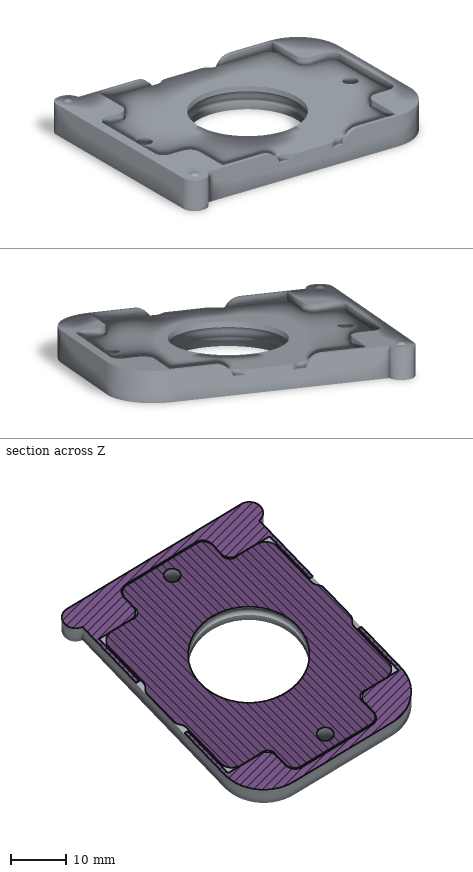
import cadquery as cq
import math


length = 56.45
housing_width = 40.3
height = 6.1
front_y = -28.35
back_y = front_y + length
back_corner_radius = 9.0

strip_width = 44.6
strip_depth = 5.1
strip_end_radius = 2.5
strip_y = front_y + strip_depth / 2

dome_x = strip_width / 2 - strip_end_radius
dome_radius = 0.9
dome_height = 0.35
dome_sphere_radius = (dome_radius**2 + dome_height**2) / (2 * dome_height)

plate_count = 2
plate_thickness = 0.525
recess_floor = 3.55

body_length = 38.5
arm_width = 19.85
recess_body_width = 38.7
recess_length = 52.55
recess_arm_corner = 2.0
recess_inner_corner = 2.25

side_gap = 0.2
end_gap = 0.15
plate_body_width = recess_body_width - 2 * side_gap
plate_length = recess_length - 2 * end_gap
plate_arm_corner = 2.0
plate_body_corner = 2.5
plate_inner_corner = 1.6

tab_root_half = 6.45
tab_tip_half = 3.95

notch_floor_half = 7.1
notch_round_radius = 3.35

opening_diameter = 21.9
counterbore_diameter = 24.4
counterbore_floor = 1.45
small_hole_diameter = 3.0
small_hole_y = 22.85


def cross(body_width, cross_length, arm_corner, inner_corner, depth, body_corner=0):
    """Body with an arm at each end, filleted where they meet; body corners may stay sharp."""
    body = cq.Workplane("XY").rect(body_width, body_length).extrude(depth)
    if body_corner:
        body = body.edges("|Z").fillet(body_corner)
    arms = cq.Workplane("XY").rect(arm_width, cross_length).extrude(depth)
    arms = arms.edges("|Z").fillet(arm_corner)
    shape = body.union(arms)
    for x in (-arm_width / 2, arm_width / 2):
        for y in (-body_length / 2, body_length / 2):
            inner_edge = cq.selectors.NearestToPointSelector((x, y, depth / 2))
            shape = shape.edges("|Z").edges(inner_edge).fillet(inner_corner)
    return shape


def through_holes(depth):
    """Cutter for the central opening and the two small holes."""
    opening = cq.Workplane("XY").circle(opening_diameter / 2).extrude(depth)
    small_holes = (
        cq.Workplane("XY")
        .pushPoints([(0, small_hole_y), (0, -small_hole_y)])
        .circle(small_hole_diameter / 2)
        .extrude(depth)
    )
    return opening.union(small_holes)


def side_notch():
    """Cutter across both side walls, with rounded lips at the top of the walls."""
    drop = height - recess_floor
    lip_run = math.sqrt(notch_round_radius**2 - (notch_round_radius - drop) ** 2)
    lip_half = notch_floor_half + lip_run
    mid_angle = math.acos(1 - drop / notch_round_radius) / 2
    mid_y = lip_half - notch_round_radius * math.sin(mid_angle)
    mid_z = height - notch_round_radius * (1 - math.cos(mid_angle))
    return (
        cq.Workplane("YZ")
        .moveTo(-notch_floor_half, recess_floor)
        .lineTo(notch_floor_half, recess_floor)
        .threePointArc((mid_y, mid_z), (lip_half, height))
        .lineTo(-lip_half, height)
        .threePointArc((-mid_y, mid_z), (-notch_floor_half, recess_floor))
        .close()
        .extrude(housing_width / 2, both=True)
    )


def hinge_strip():
    """Full-height strip whose corners are rounded almost to half-round ends."""
    return (
        cq.Workplane("XY")
        .center(0, strip_y)
        .rect(strip_width, strip_depth)
        .extrude(height)
        .edges("|Z").fillet(strip_end_radius)
    )


def dome(x):
    """Spherical cap standing on the top face of the housing."""
    sphere_z = height + dome_height - dome_sphere_radius
    ball = cq.Workplane("XY").sphere(dome_sphere_radius).translate((x, strip_y, sphere_z))
    above_top = (
        cq.Workplane("XY", origin=(x, strip_y, height))
        .circle(dome_radius)
        .extrude(dome_height)
    )
    return ball.intersect(above_top)


def make_housing():
    """Tray with the cross-shaped recess, side notches, hinge strip and domes."""
    housing = (
        cq.Workplane("XY")
        .center(0, (strip_y + back_y) / 2)
        .rect(housing_width, back_y - strip_y)
        .extrude(height)
        .edges("|Z and >Y").fillet(back_corner_radius)
        .union(hinge_strip())
    )
    for x in (-dome_x, dome_x):
        housing = housing.union(dome(x))

    recess = cross(
        recess_body_width, recess_length, recess_arm_corner, recess_inner_corner, height
    )
    counterbore = cq.Workplane("XY").circle(counterbore_diameter / 2).extrude(height)
    return (
        housing.cut(recess.translate((0, 0, recess_floor)))
        .cut(side_notch())
        .cut(through_holes(height))
        .cut(counterbore.translate((0, 0, counterbore_floor)))
    )


def side_tab():
    """Tab on the +X side; each of its ends is an S-curve of two equal arcs."""
    root_x = plate_body_width / 2
    tip_x = housing_width / 2
    half_rise = (tip_x - root_x) / 2
    half_run = (tab_root_half - tab_tip_half) / 2
    bend_radius = (half_rise**2 + half_run**2) / (2 * half_rise)
    half_angle = math.asin(half_run / bend_radius) / 2
    bow_x = bend_radius * (1 - math.cos(half_angle))
    bow_y = bend_radius * math.sin(half_angle)
    middle = (root_x + half_rise, tab_tip_half + half_run)
    half_tab = (
        cq.Workplane("XY")
        .moveTo(0, 0)
        .lineTo(tip_x, 0)
        .lineTo(tip_x, tab_tip_half)
        .threePointArc((tip_x - bow_x, tab_tip_half + bow_y), middle)
        .threePointArc((root_x + bow_x, tab_root_half - bow_y), (root_x, tab_root_half))
        .lineTo(0, tab_root_half)
        .close()
        .extrude(plate_thickness)
    )
    return half_tab.union(half_tab.mirror("XZ"))


def make_plate(level):
    """Plate that is number `level` in the stack, counted from the recess floor."""
    plate = cross(
        plate_body_width,
        plate_length,
        plate_arm_corner,
        plate_inner_corner,
        plate_thickness,
        plate_body_corner,
    )
    tab = side_tab()
    return (
        plate.union(tab)
        .union(tab.mirror("YZ"))
        .cut(through_holes(plate_thickness))
        .translate((0, 0, recess_floor + level * plate_thickness))
    )


housing = make_housing()
plates = [make_plate(level) for level in range(plate_count)]
result = cq.Compound.makeCompound([housing.val(), *[plate.val() for plate in plates]])